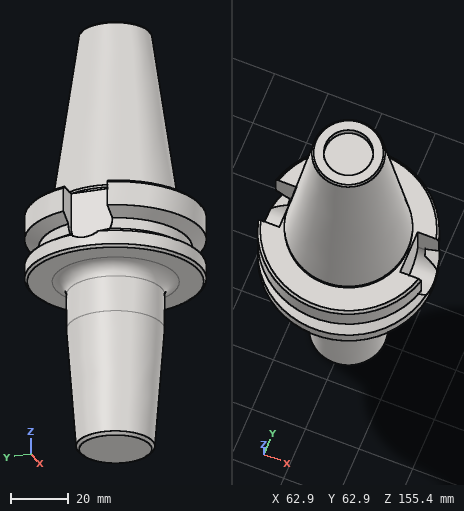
import cadquery as cq

total_length = 155.4
nose_cone_top = 44.9
flange_bottom = 63.0
lower_rim_top = 68.8
groove_bottom = 71.6
groove_top = 75.7
upper_rim_bottom = 78.5
flange_top = 88.1
neck_top = 89.2
gauge_line = 90.0

nose_radius = 13.7
body_radius = 17.02
flange_radius = 31.47
groove_radius = 26.5
neck_radius = 21.9
gauge_radius = 22.2
taper_slope = 7 / 48
taper_end_radius = gauge_radius - taper_slope * (total_length - gauge_line)

edge_chamfer = 1.0
nose_chamfer = 1.1
taper_chamfer = 0.6
flange_fillet = 5.0

slot_width = 16.2
slot_floor_x = 22.5
slot_bottom = 67.1
recess_radius = 8.5
recess_depth = 2.8


def turned_body():
    """Revolve the half profile, given as (radius, height), about Z."""
    diagonal = flange_fillet * (1 - 0.5**0.5)
    profile = (
        cq.Workplane("XZ")
        .lineTo(nose_radius - nose_chamfer, 0)
        .lineTo(nose_radius, nose_chamfer)
        .lineTo(body_radius, nose_cone_top)
        .lineTo(body_radius, flange_bottom - flange_fillet)
        .threePointArc(
            (body_radius + diagonal, flange_bottom - diagonal),
            (body_radius + flange_fillet, flange_bottom),
        )
        .lineTo(flange_radius - edge_chamfer, flange_bottom)
        .lineTo(flange_radius, flange_bottom + edge_chamfer)
        .lineTo(flange_radius, lower_rim_top)
        .lineTo(groove_radius, groove_bottom)
        .lineTo(groove_radius, groove_top)
        .lineTo(flange_radius, upper_rim_bottom)
        .lineTo(flange_radius, flange_top - edge_chamfer)
        .lineTo(flange_radius - edge_chamfer, flange_top)
        .lineTo(neck_radius, flange_top)
        .lineTo(neck_radius, neck_top)
        .lineTo(gauge_radius, gauge_line)
        .lineTo(taper_end_radius, total_length - taper_chamfer)
        .lineTo(taper_end_radius - taper_chamfer, total_length)
        .lineTo(0, total_length)
        .close()
    )
    return profile.revolve(360, (0, 0, 0), (0, 1, 0))


def drive_slot(side):
    """Round-bottomed slot cutter on the +X (side=1) or -X (side=-1) flank."""
    half_width = slot_width / 2
    arc_center = slot_bottom + half_width
    return (
        cq.Workplane("YZ", origin=(side * slot_floor_x, 0, 0))
        .moveTo(-half_width, flange_top)
        .lineTo(-half_width, arc_center)
        .threePointArc((0, slot_bottom), (half_width, arc_center))
        .lineTo(half_width, flange_top)
        .close()
        .extrude(side * flange_radius)
    )


def end_recess():
    """Shallow round recess in the small end of the taper."""
    floor_height = total_length - recess_depth
    return cq.Workplane("XY").workplane(offset=floor_height).circle(recess_radius).extrude(recess_depth)


result = turned_body().cut(end_recess())
for side in (-1, 1):
    result = result.cut(drive_slot(side))